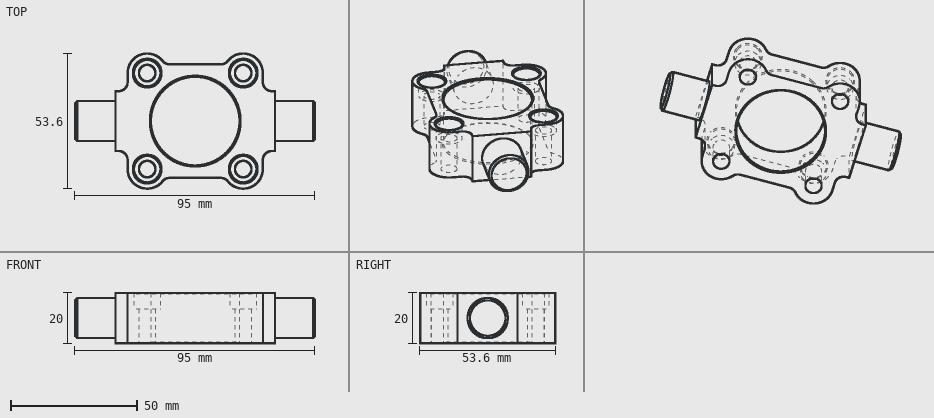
import cadquery as cq
import math

height = 20.0
length = 95.0
width = 53.6
shoulder_length = 63.3
shoulder_width = 23.75
waist_width = 45.0

bolt_offset = 19.0
lug_radius = width / 2 - bolt_offset
corner_fillet = 3.5
hole_diameter = 6.5
counterbore_diameter = 10.45
counterbore_depth = 6.5
counterbore_chamfer = 0.5

bore_diameter = 35.1
bore_chamfer = 0.5
trunnion_diameter = 16.0
trunnion_chamfer = 0.95

lug_centres = [(sx * bolt_offset, sy * bolt_offset) for sx in (-1, 1) for sy in (-1, 1)]


def centred_block(size_x, size_y):
    return cq.Workplane("XY").box(size_x, size_y, height)


def fillet_inside_corners(body, corner_x, corner_y):
    """Round the four upright inside corners at (+/-corner_x, +/-corner_y)."""
    reach = 0.1
    for sx in (-1, 1):
        for sy in (-1, 1):
            x, y = sx * corner_x, sy * corner_y
            corner = cq.selectors.BoxSelector(
                (x - reach, y - reach, -height), (x + reach, y + reach, height)
            )
            body = body.edges("|Z").edges(corner).fillet(corner_fillet)
    return body


def make_body():
    lug_span = 2 * bolt_offset
    lugs = (
        cq.Workplane("XY", origin=(0, 0, -height / 2))
        .pushPoints(lug_centres).circle(lug_radius).extrude(height)
    )
    body = (
        centred_block(width, lug_span)
        .union(centred_block(lug_span, waist_width))
        .union(centred_block(shoulder_length, shoulder_width))
        .union(lugs)
        .clean()
    )
    waist_rise = waist_width / 2 - bolt_offset
    lug_meets_waist = bolt_offset - math.sqrt(lug_radius**2 - waist_rise**2)
    body = fillet_inside_corners(body, lug_meets_waist, waist_width / 2)
    return fillet_inside_corners(body, width / 2, shoulder_width / 2)


def make_trunnions():
    return (
        cq.Workplane("YZ", origin=(-length / 2, 0, 0))
        .circle(trunnion_diameter / 2).extrude(length)
        .faces("<X or >X").chamfer(trunnion_chamfer)
    )


def make_bore():
    """Through bore with both rims chamfered."""
    radius = bore_diameter / 2
    rim = radius + bore_chamfer
    top = height / 2
    straight = top - bore_chamfer
    return (
        cq.Workplane("XZ")
        .polyline([(0, -top), (rim, -top), (radius, -straight),
                   (radius, straight), (rim, top), (0, top)])
        .close().revolve(360, (0, 0, 0), (0, 1, 0))
    )


def make_screw_hole(centre):
    """Through hole with a counterbore, chamfered at the top rim."""
    hole = hole_diameter / 2
    bore = counterbore_diameter / 2
    rim = bore + counterbore_chamfer
    top = height / 2
    seat = top - counterbore_depth
    return (
        cq.Workplane("XZ")
        .polyline([(0, -top), (hole, -top), (hole, seat), (bore, seat),
                   (bore, top - counterbore_chamfer), (rim, top), (0, top)])
        .close().revolve(360, (0, 0, 0), (0, 1, 0))
        .translate((centre[0], centre[1], 0))
    )


result = make_body().union(make_trunnions()).cut(make_bore())
for lug_centre in lug_centres:
    result = result.cut(make_screw_hole(lug_centre))